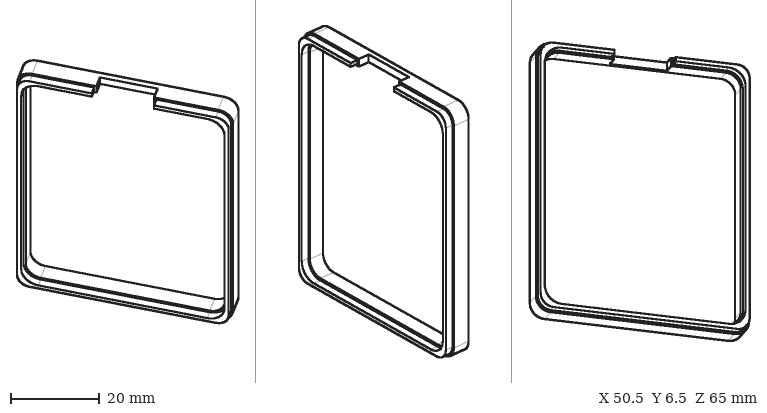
import cadquery as cq

width = 50.5
height = 65.0
depth = 6.5
outer_radius = 3.5

lip_depth = 2.0
lip_outer_inset = 0.5
lip_inner_inset = 1.5
lip_inner_radius = 4.0

wall = 2.0
floor_thickness = 0.5
cavity_radius = 3.5

notch_width = 13.5
notch_back_thickness = 1.5
lip_gap_clearance = 0.5

back_y = depth / 2
front_y = back_y - depth
shoulder_y = front_y + lip_depth
lip_gap_width = notch_width + 2 * lip_gap_clearance


def rounded_slab(inset, radius, y_start, y_end):
    """Plate inset from the outer outline, rounded at its corners, spanning y_start to y_end."""
    slab_depth = y_end - y_start
    return (
        cq.Workplane("XY")
        .box(width - 2 * inset, slab_depth, height - 2 * inset)
        .edges("|Y")
        .fillet(radius)
        .translate((0, y_start + slab_depth / 2, 0))
    )


def top_wall_cutter(cut_width, y_start, y_end):
    """Block that removes the full thickness of the +Z wall over cut_width."""
    cut_depth = y_end - y_start
    return cq.Workplane("XY").box(cut_width, cut_depth, wall).translate(
        (0, y_start + cut_depth / 2, height / 2 - wall / 2)
    )


def make_shell():
    """Tray body with its cavity, leaving a floor at the back."""
    body = rounded_slab(0, outer_radius, shoulder_y, back_y)
    cavity = rounded_slab(wall, cavity_radius, shoulder_y, back_y - floor_thickness)
    return body.cut(cavity)


def make_lip():
    """Thin rim standing on the shoulder of the tray walls."""
    rim = rounded_slab(lip_outer_inset, outer_radius - lip_outer_inset, front_y, shoulder_y)
    opening = rounded_slab(lip_inner_inset, lip_inner_radius, front_y, shoulder_y)
    return rim.cut(opening)


notch = top_wall_cutter(notch_width, shoulder_y, back_y - notch_back_thickness)
lip_gap = top_wall_cutter(lip_gap_width, front_y, shoulder_y)

result = make_shell().union(make_lip()).cut(notch).cut(lip_gap)